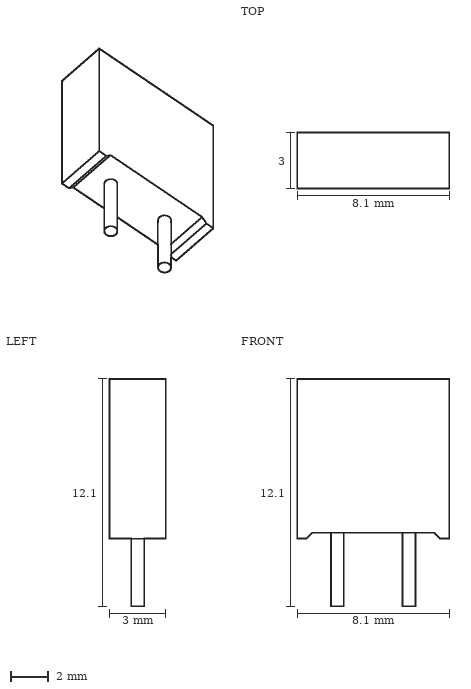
import cadquery as cq

housing_width = 8.1
housing_depth = 3.0
housing_height = 8.5

recess_depth = 0.3
foot_width = 0.5
foot_slope_run = 0.3

lead_diameter = 0.7
lead_pitch = 3.81
lead_length_below_feet = 3.6


def make_housing():
    """Block with a sloped-end recess along its underside, feet resting on Z = 0."""
    block = cq.Workplane("XY").box(
        housing_width, housing_depth, housing_height, centered=(True, True, False)
    )
    recess_half_bottom = housing_width / 2 - foot_width
    recess_half_top = recess_half_bottom - foot_slope_run
    recess = (
        cq.Workplane("XZ")
        .moveTo(-recess_half_bottom, 0)
        .lineTo(-recess_half_top, recess_depth)
        .lineTo(recess_half_top, recess_depth)
        .lineTo(recess_half_bottom, 0)
        .close()
        .extrude(housing_depth / 2, both=True)
    )
    return block.cut(recess)


def make_lead(x):
    """Straight round lead that hangs from the recess roof."""
    return (
        cq.Workplane("XY", origin=(x, 0, recess_depth))
        .circle(lead_diameter / 2)
        .extrude(-(recess_depth + lead_length_below_feet))
    )


housing = make_housing()
leads = [make_lead(side * lead_pitch / 2) for side in (-1, 1)]

result = cq.Compound.makeCompound([housing.val(), *[lead.val() for lead in leads]])